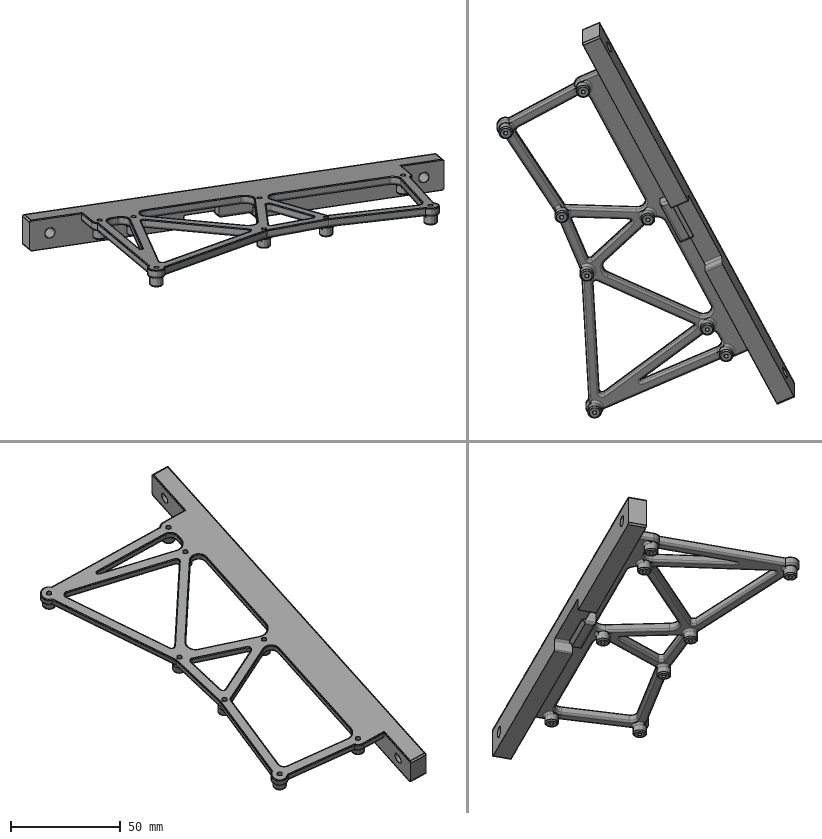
import cadquery as cq
import math

BAR_LENGTH = 205.0
BAR_WIDTH = 8.6
BAR_HEIGHT = 15.0
BAR_END_CHAMFER = 0.8
BAR_HOLE_DIAMETER = 5.0
BAR_HOLE_Y = 92.5

NOTCH_Y_MIN = -26.2
NOTCH_Y_MAX = 9.0
NOTCH_DEPTH = 6.4
NOTCH_FILLET = 1.0
NOTCH_MOUTH_FILLET = 0.6

RIB_LENGTH = 21.7
RIB_OVERHANG = 5.0
RIB_DROP = 10.5
RIB_FILLET = 1.2
RIB_BAR_SIDE_CHAMFER = 1.6

OVERALL_WIDTH = 90.8
PLATE_THICKNESS = 4.0
TOP_CHAMFER = 0.5
PLATE_BOTTOM_FILLET = 1.0
STRUT_WIDTH = 5.0
TAB_DIAMETER = 8.0
WEB_EDGE_X = 19.9
MIDDLE_WEB_EDGE_X = 16.5

STANDOFF_DIAMETER = 6.2
STANDOFF_DROP = 8.6
STANDOFF_CHAMFER = 0.6
STANDOFF_BASE_FILLET = 1.0
PLATE_HOLE_DIAMETER = 2.3
SCREW_HOLE_DIAMETER = 1.8

ROOT_TOP = (20.3, 77.3)
TIP_TOP = (61.3, 73.5)
KNEE_UPPER = (57.0, 23.8)
ROOT_UPPER = (22.1, 5.5)
KNEE_LOWER = (59.7, -8.2)
ROOT_LOWER = (22.1, -56.8)
ROOT_BOTTOM = (20.3, -72.8)
TIP_BOTTOM = (OVERALL_WIDTH - TAB_DIAMETER / 2, -72.8)

TAB_JOINTS = [ROOT_TOP, TIP_TOP, ROOT_BOTTOM, TIP_BOTTOM]
KNEES = [KNEE_UPPER, KNEE_LOWER]
ALL_JOINTS = TAB_JOINTS + KNEES + [ROOT_UPPER, ROOT_LOWER]

RIM = [ROOT_TOP, TIP_TOP, KNEE_UPPER, KNEE_LOWER, TIP_BOTTOM, ROOT_BOTTOM]

WINDOWS = [
    ([ROOT_UPPER, KNEE_UPPER, TIP_TOP, ROOT_TOP], [3.9, 0.6, 3.0, 3.9], WEB_EDGE_X),
    ([ROOT_UPPER, KNEE_LOWER, KNEE_UPPER], [1.5, 1.0, 1.5], None),
    ([ROOT_LOWER, KNEE_LOWER, ROOT_UPPER], [3.9, 4.5, 4.5], MIDDLE_WEB_EDGE_X),
    ([ROOT_LOWER, TIP_BOTTOM, KNEE_LOWER], [1.5, 1.5, 1.5], None),
    ([ROOT_BOTTOM, TIP_BOTTOM, ROOT_LOWER], [3.9, 0.6, 3.9], WEB_EDGE_X),
]


def offset_left(start, end):
    """Line (point, direction) along the left edge of the strut from start to end."""
    length = math.dist(start, end)
    dx = (end[0] - start[0]) / length
    dy = (end[1] - start[1]) / length
    point = (start[0] - dy * STRUT_WIDTH / 2, start[1] + dx * STRUT_WIDTH / 2)
    return point, (dx, dy)


def intersection(line_a, line_b):
    """Point where two lines, each given as (point, direction), cross."""
    (ax, ay), (adx, ady) = line_a
    (bx, by), (bdx, bdy) = line_b
    travel = ((bx - ax) * bdy - (by - ay) * bdx) / (adx * bdy - ady * bdx)
    return ax + travel * adx, ay + travel * ady


def make_window(joints, radii, web_edge_x):
    """Opening bounded by the struts that link the joints.

    Its last side is the web edge if there is one, else the strut back to the first joint.
    Each radius rounds the corner where the side of the same index starts.
    """
    sides = [offset_left(start, end) for start, end in zip(joints, joints[1:])]
    if web_edge_x is None:
        sides.append(offset_left(joints[-1], joints[0]))
    else:
        sides.append(((web_edge_x, 0), (0, -1)))
    corners = [intersection(sides[i - 1], sides[i]) for i in range(len(sides))]
    opening = cq.Workplane("XY").polyline(corners).close().extrude(-PLATE_THICKNESS)
    for (x, y), radius in zip(corners, radii):
        corner_edge = cq.selectors.NearestToPointSelector((x, y, -PLATE_THICKNESS / 2))
        opening = opening.edges("|Z").edges(corner_edge).fillet(radius)
    return opening


def disc(joint, diameter, top, bottom):
    """Upright cylinder at a joint between two heights."""
    plane = cq.Workplane("XY", origin=(joint[0], joint[1], top))
    return plane.circle(diameter / 2).extrude(bottom - top)


def make_strut(start, end):
    """Straight strip of plate between two joints."""
    length = math.dist(start, end)
    angle = math.degrees(math.atan2(end[1] - start[1], end[0] - start[0]))
    strip = cq.Workplane("XY").rect(length, STRUT_WIDTH).extrude(-PLATE_THICKNESS)
    strip = strip.rotate((0, 0, 0), (0, 0, 1), angle)
    return strip.translate(((start[0] + end[0]) / 2, (start[1] + end[1]) / 2, 0))


def make_plate():
    """Web beside the bar and the truss, with a rounded bottom rim."""
    web_top = ROOT_TOP[1] + TAB_DIAMETER / 2
    web_bottom = ROOT_BOTTOM[1] - TAB_DIAMETER / 2
    web = [(0, web_bottom), (ROOT_BOTTOM[0], web_bottom), (ROOT_TOP[0], web_top), (0, web_top)]
    plate = cq.Workplane("XY").polyline(web).close().extrude(-PLATE_THICKNESS)
    plate = plate.union(cq.Workplane("XY").polyline(RIM).close().extrude(-PLATE_THICKNESS))
    for start, end in zip(RIM, RIM[1:]):
        plate = plate.union(make_strut(start, end))
    for joint in TAB_JOINTS:
        plate = plate.union(disc(joint, TAB_DIAMETER, 0, -PLATE_THICKNESS))
    for joint in KNEES:
        plate = plate.union(disc(joint, STRUT_WIDTH, 0, -PLATE_THICKNESS))
    for joints, radii, web_edge_x in WINDOWS:
        plate = plate.cut(make_window(joints, radii, web_edge_x))
    return plate.faces("<Z").edges().fillet(PLATE_BOTTOM_FILLET)


def make_notch():
    """Cutter for the notch, rounded at its roof."""
    length = NOTCH_Y_MAX - NOTCH_Y_MIN
    notch = cq.Workplane("XY").box(BAR_WIDTH, length, NOTCH_DEPTH, centered=False)
    notch = notch.edges(">Z and |X").fillet(NOTCH_FILLET)
    return notch.translate((0, NOTCH_Y_MIN, -BAR_HEIGHT))


def make_bar():
    """Bar with bevelled ends, a notch and two cross holes."""
    bar = cq.Workplane("XY").box(BAR_WIDTH, BAR_LENGTH, BAR_HEIGHT, centered=(False, True, False))
    bar = bar.faces("<Y or >Y").edges("|X").chamfer(BAR_END_CHAMFER)
    bar = bar.translate((0, 0, -BAR_HEIGHT)).cut(make_notch())
    for y in (NOTCH_Y_MIN, NOTCH_Y_MAX):
        mouth_edge = cq.selectors.NearestToPointSelector((BAR_WIDTH / 2, y, -BAR_HEIGHT))
        bar = bar.edges("|X").edges(mouth_edge).fillet(NOTCH_MOUTH_FILLET)
    holes = cq.Workplane("YZ").pushPoints(
        [(-BAR_HOLE_Y, -BAR_HEIGHT / 2), (BAR_HOLE_Y, -BAR_HEIGHT / 2)]
    )
    return bar.cut(holes.circle(BAR_HOLE_DIAMETER / 2).extrude(BAR_WIDTH))


def make_rib():
    """Rib with a bevel toward the bar and rounded other bottom edges."""
    height = RIB_DROP - PLATE_THICKNESS / 2
    width = RIB_OVERHANG + RIB_BAR_SIDE_CHAMFER
    rib = cq.Workplane("XY").box(width, RIB_LENGTH, height, centered=(False, True, False))
    rib = rib.faces("<Z").edges("<X").chamfer(RIB_BAR_SIDE_CHAMFER)
    rib = rib.faces("<Z").edges("not <X").fillet(RIB_FILLET)
    return rib.translate((BAR_WIDTH - RIB_BAR_SIDE_CHAMFER, 0, -RIB_DROP))


def make_base_fillet(joint):
    """Ring with a hollow quarter-round outside, flaring a standoff into the plate."""
    inner = STANDOFF_DIAMETER / 2
    outer = inner + STANDOFF_BASE_FILLET
    top = -PLATE_THICKNESS
    bottom = top - STANDOFF_BASE_FILLET
    diagonal = STANDOFF_BASE_FILLET * math.sqrt(0.5)
    profile = (
        cq.Workplane("XZ")
        .moveTo(0, top)
        .lineTo(outer, top)
        .threePointArc((outer - diagonal, bottom + diagonal), (inner, bottom))
        .lineTo(0, bottom)
        .close()
    )
    return profile.revolve(360, (0, 0, 0), (0, 1, 0)).translate((joint[0], joint[1], 0))


plate = make_plate()

result = make_bar().union(plate)
result = result.faces(">Z").edges("not(<Y or >Y)").chamfer(TOP_CHAMFER)
result = result.union(make_rib())

plate_underside = plate.faces("<Z").val()
fillet_limit = cq.Workplane(
    cq.Solid.extrudeLinear(plate_underside, cq.Vector(0, 0, -STANDOFF_BASE_FILLET))
)
for joint in ALL_JOINTS:
    standoff = disc(joint, STANDOFF_DIAMETER, -PLATE_THICKNESS, -STANDOFF_DROP)
    standoff = standoff.faces("<Z").chamfer(STANDOFF_CHAMFER)
    base_fillet = make_base_fillet(joint).intersect(fillet_limit)
    result = result.union(standoff).union(base_fillet)

for joint in ALL_JOINTS:
    result = result.cut(disc(joint, PLATE_HOLE_DIAMETER, 0, -PLATE_THICKNESS))
    result = result.cut(disc(joint, SCREW_HOLE_DIAMETER, 0, -STANDOFF_DROP))